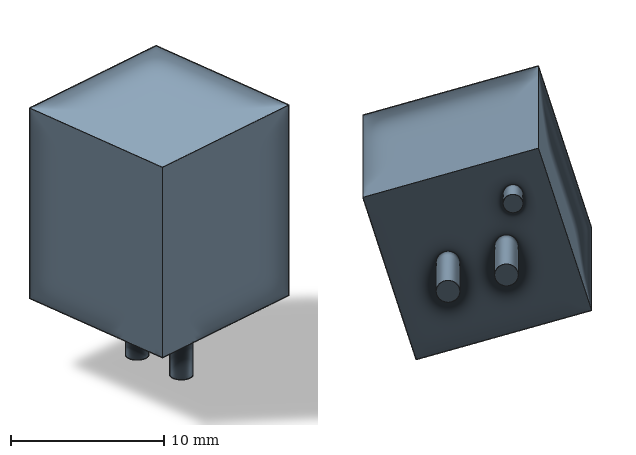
import cadquery as cq

total_height = 19.1
housing_width = 12.0
pin_length = 5.0
housing_height = total_height - pin_length

pin_diameter = 1.55
pin_spacing = 4.0
pin_count = 2

peg_diameter = 1.3
peg_length = 1.7
peg_x = -3.48
peg_y = 3.4


def make_housing():
    """Square block standing on the plane Z = 0."""
    block = cq.Workplane("XY").rect(housing_width, housing_width)
    return block.extrude(housing_height)


def make_post(x, y, diameter, length):
    """Round post hanging from the underside of the housing."""
    return cq.Workplane("XY").center(x, y).circle(diameter / 2).extrude(-length)


def make_pin(index):
    """Contact pin, counted from the -X end of the centred row."""
    x = (index - (pin_count - 1) / 2) * pin_spacing
    return make_post(x, 0, pin_diameter, pin_length)


def make_peg():
    """Locating peg, thinner and shorter than the contact pins."""
    return make_post(peg_x, peg_y, peg_diameter, peg_length)


housing = make_housing()
pins = [make_pin(index) for index in range(pin_count)]
peg = make_peg()

result = cq.Compound.makeCompound([housing.val(), *[pin.val() for pin in pins], peg.val()])